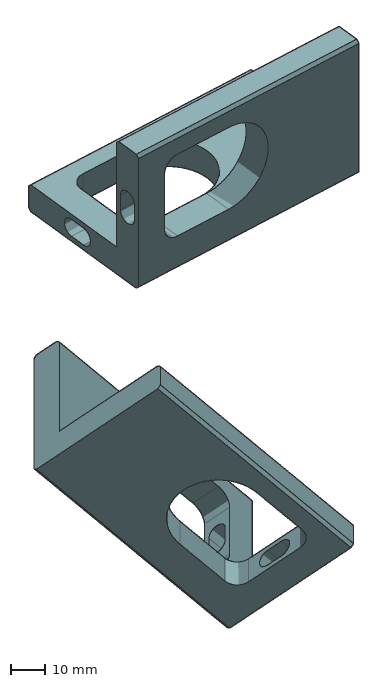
import cadquery as cq

length = 85.0
leg = 50.0
thickness = 10.0
edge_chamfer = 1.0

window_width = 30.5
window_length = 39.95
window_corner_radius = 5.0
window_front_wall = 10.0
window_edge_wall = 7.0

slot_length = 11.8
slot_width = 6.4

front = -length / 2
window_center = window_edge_wall + window_width / 2


def make_angle():
    """L profile with its outer corner at (leg, 0), chamfered on all outer edges."""
    inner_x = leg - thickness
    c = edge_chamfer
    profile = [
        (c, 0),
        (leg - c, 0),
        (leg, c),
        (leg, leg - c),
        (leg - c, leg),
        (inner_x + c, leg),
        (inner_x, leg - c),
        (inner_x, thickness),
        (c, thickness),
        (0, thickness - c),
        (0, c),
    ]
    return cq.Workplane("XZ", origin=(0, length / 2, 0)).polyline(profile).close().extrude(length)


def make_floor_openings():
    """Window and front slot of the horizontal leg."""
    radius = window_width / 2
    window_front = front + window_front_wall
    straight_end = window_front + window_length - radius
    window = (
        cq.Workplane("XY")
        .moveTo(window_center - radius, window_front)
        .lineTo(window_center + radius, window_front)
        .lineTo(window_center + radius, straight_end)
        .threePointArc((window_center, straight_end + radius), (window_center - radius, straight_end))
        .close()
        .extrude(thickness)
    )
    window = window.faces("<Y").edges("|Z").fillet(window_corner_radius)
    slot_depth = window_front_wall + window_corner_radius
    slot = (
        cq.Workplane("XZ", origin=(window_center, front + slot_depth, thickness / 2))
        .slot2D(slot_length, slot_width)
        .extrude(slot_depth)
    )
    return window.union(slot)


floor_openings = make_floor_openings()
wall_openings = floor_openings.rotate((leg, 0, 0), (leg, 1, 0), 90).mirror("YZ", (leg, 0, 0))
result = make_angle().cut(floor_openings).cut(wall_openings)